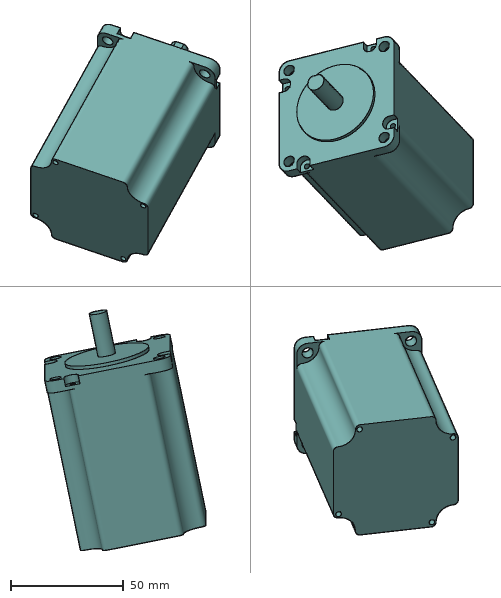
import cadquery as cq
import math

overall_length = 101.0
width = 57.0
half_width = width / 2

shaft_length = 19.5
shaft_diameter = 8.0
flat_length = 15.2
flat_depth = 0.5
pilot_diameter = 38.0
pilot_height = 1.5
flange_thickness = 5.5
flange_corner_radius = 4.9
mount_hole_diameter = 5.0
mount_hole_offset = half_width - flange_corner_radius

groove_radius = 7.8
groove_edge_radius = 2.3

screw_hole_diameter = 2.5
screw_edge_distance = 2.4
screw_corner_distance = 12.0
screw_slot_width = 6.5
screw_slot_depth = 3.6

pilot_face = overall_length - shaft_length
flange_face = pilot_face - pilot_height
body_length = flange_face - flange_thickness


def plane_at(y):
    """Sketch plane facing -Y, with sketch x, y along part X, Z."""
    return cq.Workplane("XZ", origin=(0, y, 0))


def cylinder(diameter, start, length):
    """Centred cylinder growing toward +Y."""
    return plane_at(start).circle(diameter / 2).extrude(-length)


def corner_groove():
    """Cutter for the corner at +X, +Z: a concave arc with a rounded edge on each side."""
    center = half_width - groove_edge_radius
    inner = center - groove_radius
    outer = inner - groove_edge_radius
    diagonal = math.sqrt(0.5)
    groove_middle = center - groove_radius * diagonal
    edge_near = outer + groove_edge_radius * diagonal
    edge_far = center + groove_edge_radius * diagonal
    return (
        plane_at(0)
        .moveTo(outer, half_width)
        .threePointArc((edge_near, edge_far), (inner, center))
        .threePointArc((groove_middle, groove_middle), (center, inner))
        .threePointArc((edge_far, edge_near), (half_width, outer))
        .lineTo(half_width, half_width)
        .close()
        .extrude(-body_length)
    )


def make_body():
    body = plane_at(0).rect(width, width).extrude(-body_length)
    groove = corner_groove()
    for quarter in range(4):
        body = body.cut(groove.rotate((0, 0, 0), (0, 1, 0), 90 * quarter))
    return body


def make_flange():
    mount_pitch = 2 * mount_hole_offset
    return (
        plane_at(body_length)
        .rect(width, width)
        .extrude(-flange_thickness)
        .edges("|Y")
        .fillet(flange_corner_radius)
        .cut(
            plane_at(body_length)
            .rect(mount_pitch, mount_pitch, forConstruction=True)
            .vertices()
            .circle(mount_hole_diameter / 2)
            .extrude(-flange_thickness)
        )
    )


def make_shaft():
    """Shaft with a flat on its +Z side at the free end."""
    shaft = cylinder(shaft_diameter, pilot_face, shaft_length)
    flat = cq.Workplane("XY").box(
        shaft_diameter, flat_length, flat_depth, centered=(True, False, False)
    ).translate((0, overall_length - flat_length, shaft_diameter / 2 - flat_depth))
    return shaft.cut(flat)


def screw_hole():
    """Cutter for a through hole with a round-bottomed screw head slot open to the +Z side."""
    hole = cylinder(screw_hole_diameter, 0, flange_face)
    slot_start = flange_face - screw_slot_depth
    slot_bottom = cylinder(screw_slot_width, slot_start, screw_slot_depth)
    slot_opening = cq.Workplane("XY").box(
        screw_slot_width, screw_slot_depth, screw_edge_distance, centered=(True, False, False)
    ).translate((0, slot_start, 0))
    x = screw_corner_distance - half_width
    z = half_width - screw_edge_distance
    return hole.union(slot_bottom).union(slot_opening).translate((x, 0, z))


motor = make_body().union(make_flange())
hole_cutter = screw_hole()
for quarter in range(4):
    motor = motor.cut(hole_cutter.rotate((0, 0, 0), (0, 1, 0), 90 * quarter))

pilot = cylinder(pilot_diameter, flange_face, pilot_height)
result = motor.union(pilot).union(make_shaft())